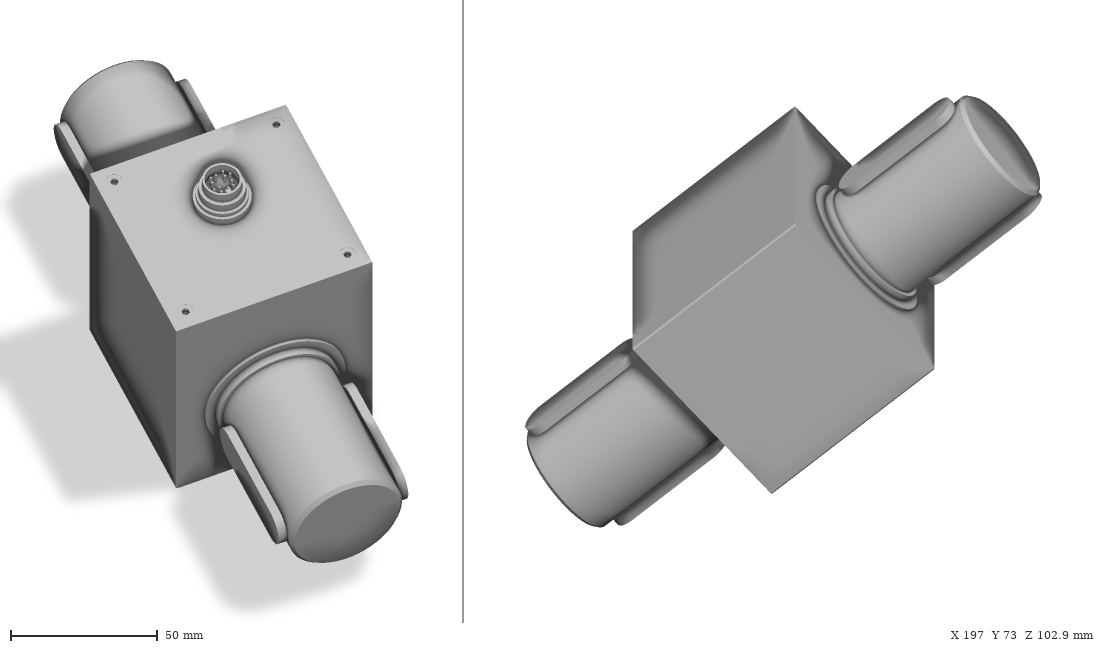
import cadquery as cq
import math


overall_length = 197.0
housing_width = 73.0
housing_height = 90.0
axis_height = housing_width / 2
bottom_chamfer = 0.5
housing_bottom = -axis_height
housing_top = housing_bottom + housing_height

screw_spacing = 60.3
screw_head_diameter = 6.0
screw_head_depth = 0.1
screw_socket_flats = 2.5
screw_socket_corners = screw_socket_flats / math.cos(math.radians(30))
screw_socket_depth = 2.0

shaft_diameter = 42.0
shaft_chamfer = 1.4
collar_diameter = 45.1
collar_length = 4.0
flange_diameter = 52.0
flange_length = 1.2

key_length = 49.8
key_width = 14.0
key_height = 3.2
key_end_gap = 3.2

connector_x = -7.5
connector_steps = [(20.0, 3.5), (18.1, 1.8), (16.2, 3.5), (13.5, 4.1)]
connector_height = sum(height for _, height in connector_steps)
connector_top = housing_top + connector_height
socket_diameter = 12.0
socket_depth = 5.1
socket_floor = connector_top - socket_depth
socket_rib_width = 1.8
socket_rib_reach = 1.4

pin_diameter = 0.8
pin_height = 4.0
pin_axis_angle = 135.0
pin_quarter = [(2.5, 0.0), (4.3, 17.5), (3.3, 60.0), (4.1, 90.0)]


def x_cylinder(diameter, length):
    """Cylinder on the shaft axis, centred on the origin."""
    return cq.Workplane("YZ").circle(diameter / 2).extrude(length / 2, both=True)


def make_block():
    block = (
        cq.Workplane("XY", origin=(0, 0, housing_bottom))
        .box(housing_width, housing_width, housing_height, centered=(True, True, False))
    )
    return block.faces("<Z").edges("|X").chamfer(bottom_chamfer)


def cut_screw_heads(body):
    """Cut the shallow round recess of each screw head and the hexagon socket in its floor."""
    top = cq.Workplane("XY", origin=(0, 0, housing_top))
    centers = top.rect(screw_spacing, screw_spacing, forConstruction=True).vertices()
    recesses = centers.circle(screw_head_diameter / 2).extrude(-screw_head_depth)
    sockets = centers.polygon(6, screw_socket_corners).extrude(-screw_head_depth - screw_socket_depth)
    return body.cut(recesses).cut(sockets)


def make_shaft():
    shaft = x_cylinder(shaft_diameter, overall_length).faces("<X or >X").chamfer(shaft_chamfer)
    collar = x_cylinder(collar_diameter, housing_width + 2 * collar_length)
    flange = x_cylinder(flange_diameter, housing_width + 2 * flange_length)
    return shaft.union(collar).union(flange)


def pin_positions():
    """Pin centres from the connector axis; pins on a symmetry axis are not doubled."""
    positions = []
    for radius, angle in pin_quarter:
        for pin_angle in sorted({angle, -angle % 360, 180 - angle, 180 + angle}):
            direction = math.radians(pin_axis_angle + pin_angle)
            positions.append((radius * math.cos(direction), radius * math.sin(direction)))
    return positions


def make_connector():
    connector = cq.Workplane("XY", origin=(connector_x, 0, housing_top))
    for diameter, height in connector_steps:
        connector = connector.circle(diameter / 2).extrude(height).faces(">Z").workplane()

    floor = cq.Workplane("XY", origin=(connector_x, 0, socket_floor))
    socket = floor.circle(socket_diameter / 2).extrude(socket_depth)
    rib = (
        floor.center(socket_diameter / 2, 0)
        .rect(2 * socket_rib_reach, socket_rib_width)
        .extrude(socket_depth)
    )
    pins = floor.pushPoints(pin_positions()).circle(pin_diameter / 2).extrude(pin_height)
    return connector.cut(socket.cut(rib)).union(pins)


def make_sensor():
    block = cut_screw_heads(make_block())
    return block.union(make_shaft()).union(make_connector())


def make_key(x_side, y_side):
    """Round-ended key whose flat underside touches the shaft along one line."""
    x_center = x_side * (overall_length / 2 - key_end_gap - key_length / 2)
    y_inner = y_side * shaft_diameter / 2
    return (
        cq.Workplane("XZ", origin=(x_center, y_inner, 0))
        .slot2D(key_length, key_width)
        .extrude(-y_side * key_height)
    )


sensor = make_sensor()
keys = [make_key(x_side, y_side) for x_side in (-1, 1) for y_side in (-1, 1)]

result = cq.Compound.makeCompound([sensor.val(), *[key.val() for key in keys]])